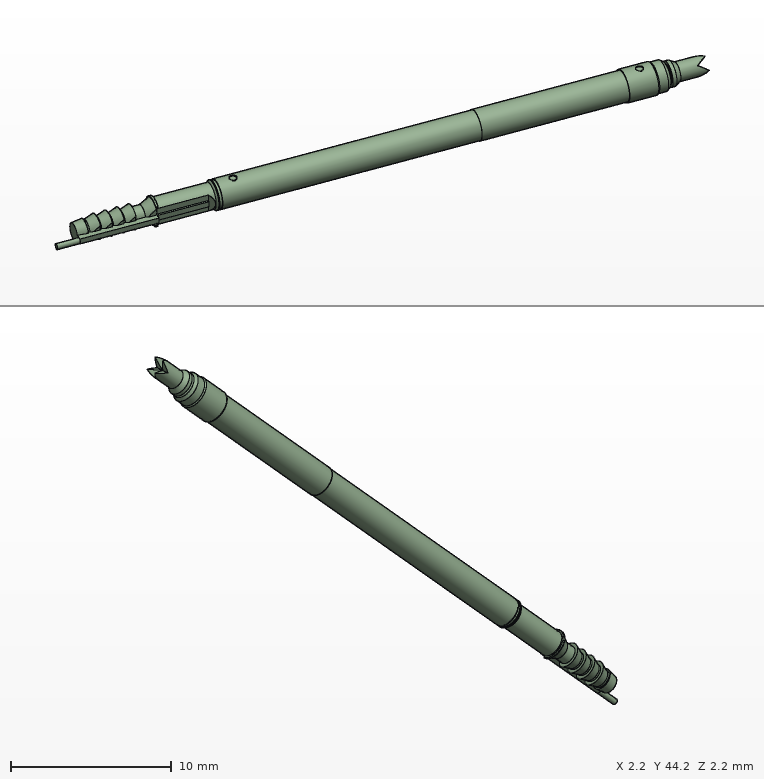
import cadquery as cq
import math

total_length = 44.2

crown_radius = 0.65
crown_depth = 0.7
crown_end = 1.92
head_cone_end = 2.27
head_radius = 0.86
head_end = 2.53
rod_radius = 0.67
rod_end = 2.58

barrel_radius = 1.03
mouth_radius = 0.88
mouth_start = 2.68
mouth_cone_end = 2.9
collar_radius = 1.1
collar_chamfer_start = 3.5
collar_start = 3.6
collar_end = 5.55
rear_barrel_radius = 1.0
rear_barrel_start = 15.5
groove_start = 33.0
groove_radius = 0.93
flange_start = 33.2
flange_end = 33.27

neck_radius = 0.88
neck_start = 33.4
neck_end = 37.2
neck_flange_end = 37.36

tail_cone_radius = 0.93
tail_cone_end = 38.05
core_radius = 0.62
barb_radius = 0.85
first_barb = 38.73
barb_pitch = 0.8
full_barbs = 4
barb_taper_length = 0.67
end_barb_radius = 0.72
tail_end = 42.66

flat_offset = 0.6
flat_ramp_length = 0.55
pin_radius = 0.2
neck_key_start = flange_end + flat_ramp_length
neck_key_outer = 0.73
tail_flat_offset = 0.67
key_start = 37.3
key_inner = 0.3
key_width = 2 * pin_radius
pin_offset = collar_radius - pin_radius

dimple_diameter = 0.5
dimple_depth = 0.1
dimples = [(4.45, collar_radius), (31.9, rear_barrel_radius)]


def y_at(station):
    """Y of a station, with the part centred on Y = 0."""
    return total_length / 2 - station


def rod_along_y(start, end, radius, offset):
    """Round rod parallel to Y, moved sideways along +X."""
    plane = cq.Workplane("XZ", origin=(offset, y_at(start), 0))
    return plane.circle(radius).extrude(end - start)


def turned_profile():
    """(radius, station) corners of the turned body, from tip to tail."""
    points = [
        (0, 0),
        (crown_radius, 0),
        (crown_radius, crown_end),
        (head_radius, head_cone_end),
        (head_radius, head_end),
        (rod_radius, head_end),
        (rod_radius, rod_end),
        (mouth_radius, mouth_start),
        (barrel_radius, mouth_cone_end),
        (barrel_radius, collar_chamfer_start),
        (collar_radius, collar_start),
        (collar_radius, collar_end),
        (barrel_radius, collar_end),
        (barrel_radius, rear_barrel_start),
        (rear_barrel_radius, rear_barrel_start),
        (rear_barrel_radius, groove_start),
        (groove_radius, groove_start),
        (groove_radius, flange_start),
        (rear_barrel_radius, flange_start),
        (rear_barrel_radius, flange_end),
        (neck_radius, neck_start),
        (neck_radius, neck_end),
        (rear_barrel_radius, neck_end),
        (rear_barrel_radius, neck_flange_end),
        (tail_cone_radius, neck_flange_end),
        (core_radius, tail_cone_end),
    ]
    for index in range(full_barbs):
        barb = first_barb + index * barb_pitch
        points.append((core_radius, barb))
        points.append((barb_radius, barb))
        points.append((core_radius, barb + barb_taper_length))
    end_barb = first_barb + full_barbs * barb_pitch
    points.append((core_radius, end_barb))
    points.append((end_barb_radius, end_barb))
    points.append((core_radius, tail_end))
    points.append((0, tail_end))
    return points


def turned_body():
    outline = [(radius, y_at(station)) for radius, station in turned_profile()]
    profile = cq.Workplane("XY").polyline(outline).close()
    return profile.revolve(360, (0, 0, 0), (0, 1, 0))


def crown_notch(angle):
    """V groove across the tip, leaving points on the X and Z axes."""
    half_width = crown_radius * math.sin(math.radians(45))
    groove_length = 4 * crown_radius
    groove = (
        cq.Workplane("XY", origin=(0, 0, -groove_length / 2))
        .moveTo(-half_width, y_at(0))
        .lineTo(0, y_at(crown_depth))
        .lineTo(half_width, y_at(0))
        .close()
        .extrude(groove_length)
    )
    return groove.rotate((0, 0, 0), (0, 1, 0), angle)


def flat_cutter():
    """Flat on the +X side of neck and tail, ramping up to the barrel flange."""
    outer = 2 * collar_radius
    return (
        cq.Workplane("XY", origin=(0, 0, -collar_radius))
        .moveTo(rear_barrel_radius, y_at(flange_end))
        .lineTo(flat_offset, y_at(neck_key_start))
        .lineTo(flat_offset, y_at(key_start))
        .lineTo(tail_flat_offset, y_at(key_start))
        .lineTo(tail_flat_offset, y_at(tail_end))
        .lineTo(outer, y_at(tail_end))
        .lineTo(outer, y_at(flange_end))
        .close()
        .extrude(2 * collar_radius)
    )


def key(start, end, outer):
    """Bar along Y on the +X side, seated in the core and reaching out to X = outer."""
    block = cq.Workplane("XY").box(
        outer - key_inner, end - start, key_width, centered=(False, False, True)
    )
    return block.translate((key_inner, y_at(end), 0))


def dimple(station, surface_radius):
    floor = cq.Workplane("XY", origin=(0, y_at(station), surface_radius - dimple_depth))
    return floor.circle(dimple_diameter / 2).extrude(2 * dimple_depth)


result = turned_body()
for notch_angle in (45, -45):
    result = result.cut(crown_notch(notch_angle))
result = result.cut(flat_cutter())
result = result.union(key(neck_key_start, key_start, neck_key_outer))
result = result.union(key(key_start, tail_end, rear_barrel_radius))
result = result.union(rod_along_y(tail_end, total_length, pin_radius, pin_offset))
for dimple_station, dimple_surface in dimples:
    result = result.cut(dimple(dimple_station, dimple_surface))